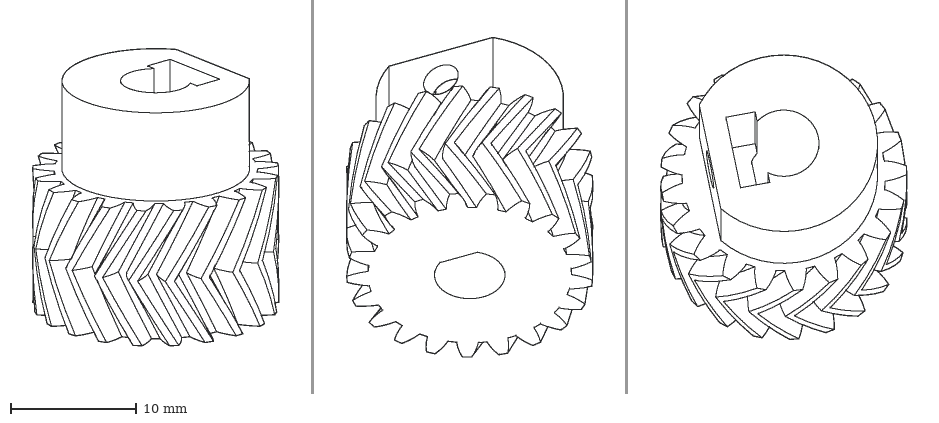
import cadquery as cq
import math

tooth_count = 21
tip_radius = 9.84
module = 2 * tip_radius / (tooth_count + 2)
pitch_radius = tip_radius - module
root_radius = pitch_radius - module
gap_width_root = 0.69
gap_width_pitch = 1.3
gap_width_tip = 2.2
lower_height = 5.5
upper_height = 6.0
gear_height = lower_height + upper_height
helix_lead = 102.73

hub_radius = 7.5
hub_height = 7.5
hub_flat_y = 6.0
total_height = gear_height + hub_height

bore_radius = 2.81
bore_flat_y = 2.3

pocket_length = 6.1
pocket_width = 2.38
pocket_outer_y = 4.11
pocket_depth = hub_height
screw_radius = 1.5
screw_depth = 3.0

tooth_pitch_angle = 2 * math.pi / tooth_count
top_tooth_angle = math.pi / 2


def polar(radius, angle):
    return (radius * math.cos(angle), radius * math.sin(angle))


def gear_profile(workplane, turn):
    """Closed gear outline with one tooth's middle at angle `turn`."""
    root_half, pitch_half, tip_half = (
        math.asin(width / 2 / radius)
        for width, radius in (
            (gap_width_root, root_radius),
            (gap_width_pitch, pitch_radius),
            (gap_width_tip, tip_radius),
        )
    )
    first_gap = turn + tooth_pitch_angle / 2
    outline = workplane.moveTo(*polar(tip_radius, first_gap - tip_half))
    for i in range(tooth_count):
        gap = first_gap + i * tooth_pitch_angle
        tooth = gap + tooth_pitch_angle / 2
        next_gap = gap + tooth_pitch_angle
        outline = (
            outline
            .threePointArc(polar(pitch_radius, gap - pitch_half), polar(root_radius, gap - root_half))
            .threePointArc(polar(root_radius, gap), polar(root_radius, gap + root_half))
            .threePointArc(polar(pitch_radius, gap + pitch_half), polar(tip_radius, gap + tip_half))
            .threePointArc(polar(tip_radius, tooth), polar(tip_radius, next_gap - tip_half))
        )
    return outline.close()


def herringbone_gear():
    """Two helical halves of opposite hand that meet tooth to tooth."""
    lower_twist = 360 * lower_height / helix_lead
    upper_twist = 360 * upper_height / helix_lead
    middle_turn = top_tooth_angle - math.radians(upper_twist)
    bottom_turn = middle_turn + math.radians(lower_twist)
    lower = gear_profile(cq.Workplane("XY"), bottom_turn).twistExtrude(lower_height, -lower_twist)
    middle_plane = cq.Workplane("XY").workplane(offset=lower_height)
    upper = gear_profile(middle_plane, middle_turn).twistExtrude(upper_height, upper_twist)
    return lower.union(upper)


def d_prism(radius, flat_y, bottom, height):
    """Upright cylinder cut off by a flat on its +Y side."""
    cylinder = cq.Workplane("XY").workplane(offset=bottom).circle(radius).extrude(height)
    keep = (
        cq.Workplane("XY").workplane(offset=bottom)
        .center(0, flat_y - radius).rect(2 * radius, 2 * radius).extrude(height)
    )
    return cylinder.intersect(keep)


def nut_pocket():
    return (
        cq.Workplane("XY").workplane(offset=total_height - pocket_depth)
        .center(0, pocket_outer_y - pocket_width / 2)
        .rect(pocket_length, pocket_width).extrude(pocket_depth)
    )


def screw_hole():
    """Radial hole from the shaft axis out through the hub flat."""
    return (
        cq.Workplane("XZ").center(0, total_height - screw_depth)
        .circle(screw_radius).extrude(-hub_radius)
    )


hub = d_prism(hub_radius, hub_flat_y, gear_height, hub_height)
bore = d_prism(bore_radius, bore_flat_y, 0, total_height)
result = herringbone_gear().union(hub).cut(bore).cut(nut_pocket()).cut(screw_hole())